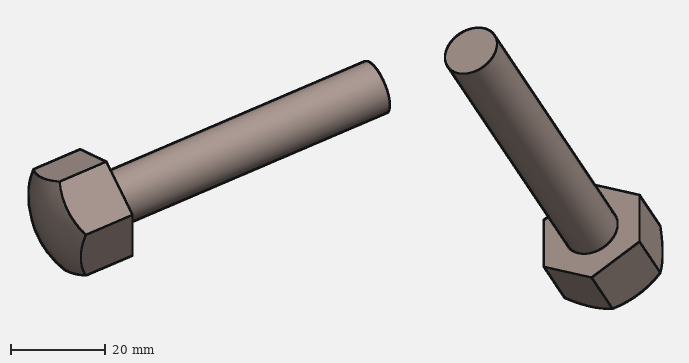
import cadquery as cq
import math

total_length = 82.0
head_height = 16.0
across_flats = 22.0
shank_diameter = 12.0
dome_radius = 20.0

shank_length = total_length - head_height
across_corners = across_flats / math.cos(math.pi / 6)


def make_head():
    """Hexagonal head on the -Y side of the origin, with a spherical end."""
    prism = (
        cq.Workplane("XZ")
        .polygon(6, across_corners)
        .extrude(head_height)
        .rotate((0, 0, 0), (0, 1, 0), 30)
    )
    dome_center_y = dome_radius - head_height
    dome = cq.Workplane("XY").sphere(dome_radius).translate((0, dome_center_y, 0))
    return prism.intersect(dome)


def make_shank():
    """Plain round shank running in +Y from the underside of the head."""
    return cq.Workplane("XZ").circle(shank_diameter / 2).extrude(-shank_length)


result = make_head().union(make_shank())